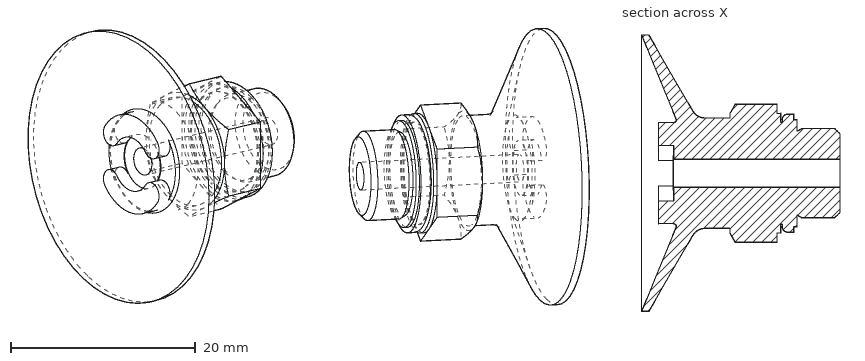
import cadquery as cq
import math


cup_diameter = 30.0
rim_thickness = 0.8
neck_diameter = 12.0
neck_fillet = 1.5
cone_angle = math.radians(30)
cavity_depth = 3.78
cavity_floor_diameter = 11.52

hub_diameter = 11.0
hub_face = 3.4
hub_wall = 0.1
bore_diameter = 3.0
post_inner_diameter = 6.0
recess_depth = 0.1
post_face = 1.83
post_end_angle = math.radians(38)

hex_across_flats = 13.0
hex_start = 9.57
hex_end = 14.7
hex_bevel_angle = math.radians(60)
hex_face_end = 15.1

ring_diameter = 12.8
ring_start = 15.25
ring_end = 16.5
ring_fillet = 0.6
seat_diameter = 11.1
collar_diameter = 11.6
collar_end = 16.85

thread_diameter = 9.72
thread_start = 17.4
thread_relief = 0.3
thread_chamfer = 0.6
total_length = 21.5


def cylinder(diameter, start, end):
    """Cylinder along Y between two positions."""
    return cq.Workplane("XZ", origin=(0, end, 0)).circle(diameter / 2).extrude(end - start)


def revolve(profile):
    """Turn a closed (radius, Y) profile around the Y axis."""
    return profile.close().revolve(360, (0, 0, 0), (0, 1, 0))


def polar(radius, angle):
    return (radius * math.cos(angle), radius * math.sin(angle))


def make_cup():
    cup_radius = cup_diameter / 2
    neck_radius = neck_diameter / 2
    turn = math.pi / 2 - cone_angle
    fillet_centre_radius = neck_radius + neck_fillet
    fillet_end_radius = fillet_centre_radius - neck_fillet * math.cos(turn)
    fillet_end = rim_thickness + (cup_radius - fillet_end_radius) * math.tan(cone_angle)
    neck_start = fillet_end + neck_fillet * math.sin(turn)
    fillet_middle = (
        fillet_centre_radius - neck_fillet * math.cos(turn / 2),
        neck_start - neck_fillet * math.sin(turn / 2),
    )
    profile = (
        cq.Workplane("XY")
        .moveTo(0, cavity_depth)
        .lineTo(cavity_floor_diameter / 2, cavity_depth)
        .lineTo(cup_radius, 0)
        .lineTo(cup_radius, rim_thickness)
        .lineTo(fillet_end_radius, fillet_end)
        .threePointArc(fillet_middle, (neck_radius, neck_start))
        .lineTo(neck_radius, hex_start)
        .lineTo(0, hex_start)
    )
    return revolve(profile)


def make_hub():
    """Hub flaring concavely into the cavity floor, with a shallow central recess."""
    profile = (
        cq.Workplane("XY")
        .moveTo(0, cavity_depth)
        .lineTo(0, hub_face)
        .lineTo(hub_diameter / 2, hub_face)
        .lineTo(hub_diameter / 2, hub_face + hub_wall)
        .tangentArcPoint((cavity_floor_diameter / 2, cavity_depth), relative=False)
    )
    recess = cylinder(post_inner_diameter, hub_face, hub_face + recess_depth)
    return revolve(profile).cut(recess)


def make_post(side):
    """Kidney-shaped post on the +Z (side = 1) or -Z (side = -1) half of the hub."""
    inner = post_inner_diameter / 2
    outer = hub_diameter / 2
    middle = (inner + outer) / 2
    end_radius = (outer - inner) / 2
    right = side * post_end_angle
    left = side * (math.pi - post_end_angle)

    def end_tip(angle, turn):
        centre = polar(middle, angle)
        offset = polar(end_radius, angle + turn)
        return (centre[0] + offset[0], centre[1] + offset[1])

    quarter = side * math.pi / 2
    return (
        cq.Workplane("XZ", origin=(0, hub_face, 0))
        .moveTo(*polar(outer, right))
        .threePointArc((0, side * outer), polar(outer, left))
        .threePointArc(end_tip(left, quarter), polar(inner, left))
        .threePointArc((0, side * inner), polar(inner, right))
        .threePointArc(end_tip(right, -quarter), polar(outer, right))
        .close()
        .extrude(hub_face - post_face)
    )


def make_hexagon():
    corner_radius = hex_across_flats / math.sqrt(3)
    corners = [polar(corner_radius, math.radians(90 + 60 * i)) for i in range(6)]
    prism = (
        cq.Workplane("XZ", origin=(0, hex_end, 0))
        .polyline(corners)
        .close()
        .extrude(hex_end - hex_start)
    )
    flat_radius = hex_across_flats / 2
    bevel_length = (corner_radius - flat_radius) / math.tan(hex_bevel_angle)
    bevel_envelope = revolve(
        cq.Workplane("XY")
        .moveTo(0, hex_start)
        .lineTo(flat_radius, hex_start)
        .lineTo(corner_radius, hex_start + bevel_length)
        .lineTo(corner_radius, hex_end)
        .lineTo(0, hex_end)
    )
    return prism.intersect(bevel_envelope)


def make_sealing_ring():
    return cylinder(ring_diameter, ring_start, ring_end).faces("<Y").edges().fillet(ring_fillet)


def make_thread():
    thread_radius = thread_diameter / 2
    profile = (
        cq.Workplane("XY")
        .moveTo(0, collar_end)
        .lineTo(thread_radius - thread_relief, collar_end)
        .lineTo(thread_radius, thread_start)
        .lineTo(thread_radius, total_length - thread_chamfer)
        .lineTo(thread_radius - thread_chamfer, total_length)
        .lineTo(0, total_length)
    )
    return revolve(profile)


body = make_cup()
body = body.union(make_hub())
for side in (1, -1):
    body = body.union(make_post(side))
body = body.union(make_hexagon())
body = body.union(cylinder(hex_across_flats, hex_end, hex_face_end))
body = body.union(cylinder(seat_diameter, hex_face_end, ring_start))
body = body.union(make_sealing_ring())
body = body.union(cylinder(collar_diameter, ring_end, collar_end))
body = body.union(make_thread())

result = body.cut(cylinder(bore_diameter, 0, total_length))